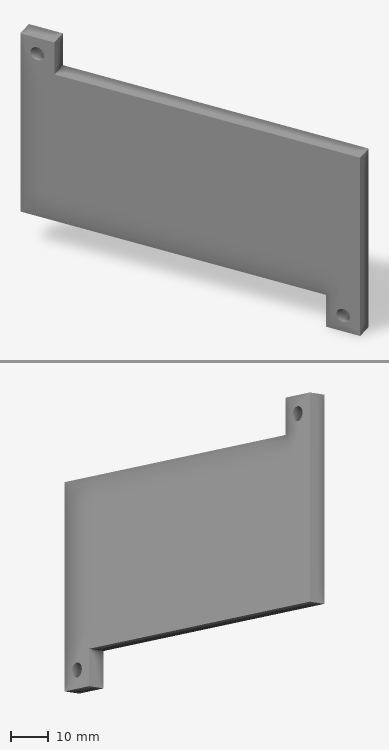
import cadquery as cq

length = 100
thickness = 5
plate_height = 46
tab_size = 10
hole_diameter = 4

tab_x = (length - tab_size) / 2
tab_z = (plate_height + tab_size) / 2
tab_centres = [(-tab_x, tab_z), (tab_x, -tab_z)]


def mounting_tab(x, z):
    """Square tab with a through hole along Y at its centre."""
    tab = cq.Workplane("XY").box(tab_size, thickness, tab_size)
    return tab.faces("<Y").workplane().hole(hole_diameter).translate((x, 0, z))


result = cq.Workplane("XY").box(length, thickness, plate_height)

for x, z in tab_centres:
    result = result.union(mounting_tab(x, z))